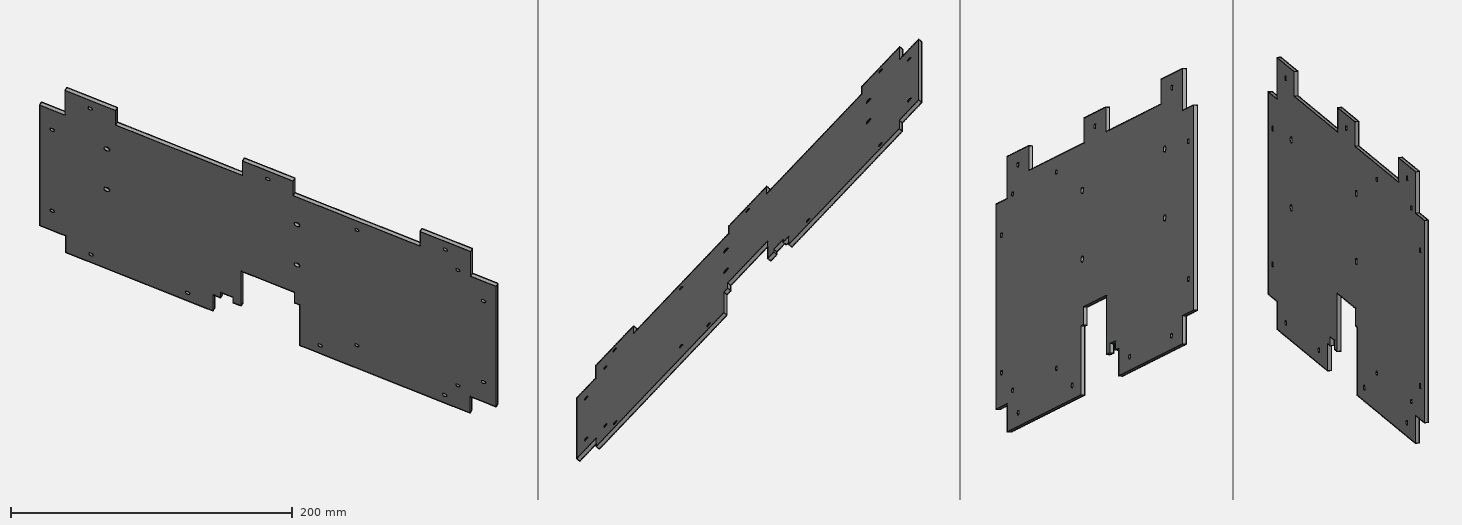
import cadquery as cq

length = 360.0
height = 200.0
thickness = 3.0

half_length = length / 2
top = height / 2
bottom = -height / 2

upper_notch_width = 20.0
lower_notch_width = 20.5
upper_notch_height = 30.5
lower_notch_height = 20.5
body_half_length = half_length - upper_notch_width
lower_half_length = half_length - lower_notch_width
side_tab_top = top - upper_notch_height
side_tab_bottom = bottom + lower_notch_height

top_tab_width = 40.0
top_tab_height = 18.0
top_edge = top - top_tab_height
outer_tab_inner_x = body_half_length - top_tab_width
middle_tab_half_width = top_tab_width / 2

opening_left = -21.0
opening_right = 21.0
opening_lower_right = 25.0
opening_top = -37.0
opening_step_z = -50.0
shelf_left = -43.2
shelf_z = -80.0
small_notch_left = -37.2
small_notch_right = -27.5
small_notch_depth = 6.7
small_notch_top = shelf_z + small_notch_depth

edge_hole_diameter = 3.3
edge_hole_inset = 10.0
top_hole_x = body_half_length - top_tab_width / 2
top_hole_z = top - edge_hole_inset
bottom_hole_z = bottom + edge_hole_inset
bottom_outer_hole_inset = 20.0
bottom_outer_hole_x = lower_half_length - bottom_outer_hole_inset
bottom_inner_left_x = -63.3
bottom_inner_right_x = 41.3
bottom_hole_xs = (-bottom_outer_hole_x, bottom_inner_left_x, bottom_inner_right_x, bottom_outer_hole_x)
side_hole_x = half_length - edge_hole_inset
side_hole_spacing = 100.0
side_hole_mid_z = (side_tab_top + side_tab_bottom) / 2

large_hole_diameter = 4.4
large_pattern_centre = (-52.0, 23.0)
large_pattern_size = (150.0, 50.0)

small_hole_diameter = 3.0
small_pattern_centre = (110.0, -0.5)
small_pattern_size = (79.6, 142.5)


def make_plate():
    """Plate outline, listed clockwise from the top left corner, extruded about the XZ plane."""
    outline = [
        (-body_half_length, top),
        (-outer_tab_inner_x, top),
        (-outer_tab_inner_x, top_edge),
        (-middle_tab_half_width, top_edge),
        (-middle_tab_half_width, top),
        (middle_tab_half_width, top),
        (middle_tab_half_width, top_edge),
        (outer_tab_inner_x, top_edge),
        (outer_tab_inner_x, top),
        (body_half_length, top),
        (body_half_length, side_tab_top),
        (half_length, side_tab_top),
        (half_length, side_tab_bottom),
        (lower_half_length, side_tab_bottom),
        (lower_half_length, bottom),
        (opening_lower_right, bottom),
        (opening_lower_right, opening_step_z),
        (opening_right, opening_step_z),
        (opening_right, opening_top),
        (opening_left, opening_top),
        (opening_left, shelf_z),
        (small_notch_right, shelf_z),
        (small_notch_right, small_notch_top),
        (small_notch_left, small_notch_top),
        (small_notch_left, shelf_z),
        (shelf_left, shelf_z),
        (shelf_left, bottom),
        (-lower_half_length, bottom),
        (-lower_half_length, side_tab_bottom),
        (-half_length, side_tab_bottom),
        (-half_length, side_tab_top),
        (-body_half_length, side_tab_top),
    ]
    return cq.Workplane("XZ").polyline(outline).close().extrude(thickness / 2, both=True)


def rectangle_corners(centre, size):
    """Four corner points of a rectangle given its centre and its X and Z sizes."""
    centre_x, centre_z = centre
    half_x = size[0] / 2
    half_z = size[1] / 2
    return [(centre_x + sx * half_x, centre_z + sz * half_z) for sx in (-1, 1) for sz in (-1, 1)]


def drill(plate, points, diameter):
    """Cut a through hole along Y at each (x, z) point."""
    drills = cq.Workplane("XZ").pushPoints(points).circle(diameter / 2).extrude(thickness, both=True)
    return plate.cut(drills)


top_holes = [(x, top_hole_z) for x in (-top_hole_x, 0, top_hole_x)]
bottom_holes = [(x, bottom_hole_z) for x in bottom_hole_xs]
side_holes = rectangle_corners((0, side_hole_mid_z), (2 * side_hole_x, side_hole_spacing))

result = make_plate()
result = drill(result, top_holes + bottom_holes + side_holes, edge_hole_diameter)
result = drill(result, rectangle_corners(large_pattern_centre, large_pattern_size), large_hole_diameter)
result = drill(result, rectangle_corners(small_pattern_centre, small_pattern_size), small_hole_diameter)